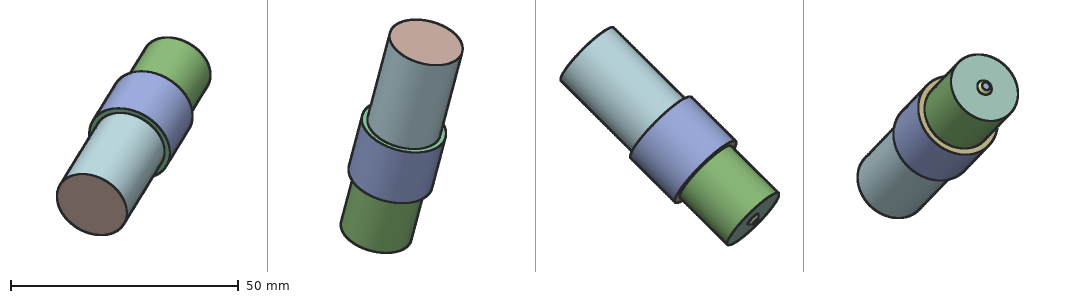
import cadquery as cq

front_diameter = 16.5
collar_diameter = 19.0
rear_diameter = 16.0
tip_base_diameter = 3.45
tip_end_diameter = 1.85

total_length = 53.0
front_length = 23.2
collar_length = 14.05
tip_length = 0.8
rear_length = total_length - front_length - collar_length - tip_length

front_y = -total_length / 2
collar_y = front_y + front_length
rear_y = collar_y + collar_length
tip_y = rear_y + rear_length


def cylinder(diameter, start_y, length):
    """Solid cylinder along +Y from start_y."""
    plane = cq.Workplane("XZ", origin=(0, start_y, 0))
    return plane.circle(diameter / 2).extrude(-length)


def cone_tip():
    """Truncated cone centred on the rear face."""
    profile = (
        cq.Workplane("XY")
        .moveTo(0, tip_y)
        .lineTo(tip_base_diameter / 2, tip_y)
        .lineTo(tip_end_diameter / 2, tip_y + tip_length)
        .lineTo(0, tip_y + tip_length)
        .close()
    )
    return profile.revolve(360, (0, 0, 0), (0, 1, 0))


result = (
    cylinder(front_diameter, front_y, front_length)
    .union(cylinder(collar_diameter, collar_y, collar_length))
    .union(cylinder(rear_diameter, rear_y, rear_length))
    .union(cone_tip())
)